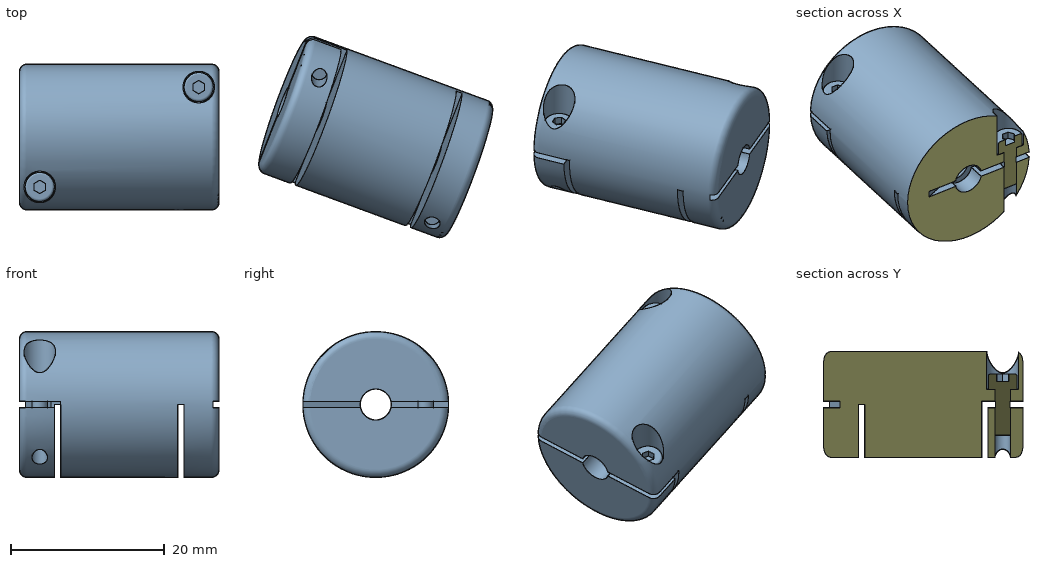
import cadquery as cq

length = 26.0
outer_diameter = 19.0
end_fillet = 1.0
bore_diameter = 4.0

saw_width = 0.8
lever_length = 4.58
slit_edge_depth = 0.75
hinge_thickness = 0.47

screw_inset = 2.65
screw_offset = 6.5
thread_diameter = 2.0
thread_length = 6.0
head_diameter = 3.8
head_height = 2.0
head_fillet = 0.3
seat_height = 2.0
counterbore_diameter = 4.1
hex_across_flats = 1.5
hex_depth = 1.0

half_length = length / 2
outer_radius = outer_diameter / 2
bore_radius = bore_diameter / 2
cross_cut_inner_x = -half_length + lever_length + saw_width
hinge_x = -half_length + lever_length - hinge_thickness
screw_x = -half_length + screw_inset
END_ANGLES = (0, 180)


def turned(shape, angle):
    return shape.rotate((0, 0, 0), (0, 0, 1), angle)


def make_round_bar():
    bar = cq.Workplane("YZ", origin=(-half_length, 0, 0)).circle(outer_radius).extrude(length)
    bar = bar.faces("<X or >X").edges().fillet(end_fillet)
    bore = cq.Workplane("YZ", origin=(-half_length, 0, 0)).circle(bore_radius).extrude(length)
    return bar.cut(bore)


def make_slit():
    """Slit on the bore axis: open on the screw side, with a slanted floor on the hinge side."""
    return (
        cq.Workplane("XY", origin=(0, 0, -saw_width / 2))
        .moveTo(-half_length, -outer_radius)
        .lineTo(cross_cut_inner_x, -outer_radius)
        .lineTo(cross_cut_inner_x, 0)
        .lineTo(hinge_x, bore_radius)
        .lineTo(-half_length + slit_edge_depth, outer_radius)
        .lineTo(-half_length, outer_radius)
        .close()
        .extrude(saw_width)
    )


def make_cross_cut():
    """Saw cut across the whole lower half, freeing the clamp lever."""
    return cq.Workplane("XY").box(
        saw_width, outer_diameter, outer_radius, centered=(False, True, False)
    ).translate((-half_length + lever_length, 0, -outer_radius))


def make_screw_hole():
    """Through hole for the thread, with a counterbore for the head."""
    thread_hole = (
        cq.Workplane("XY", origin=(screw_x, -screw_offset, -outer_radius))
        .circle(thread_diameter / 2)
        .extrude(outer_diameter)
    )
    counterbore = (
        cq.Workplane("XY", origin=(screw_x, -screw_offset, seat_height))
        .circle(counterbore_diameter / 2)
        .extrude(outer_radius)
    )
    return thread_hole.union(counterbore)


def make_coupling():
    coupling = make_round_bar()
    for angle in END_ANGLES:
        for cutter in (make_slit(), make_cross_cut(), make_screw_hole()):
            coupling = coupling.cut(turned(cutter, angle))
    return coupling


def make_screw():
    """Socket head screw with a hexagon whose flats face along X."""
    seat = cq.Workplane("XY", origin=(screw_x, -screw_offset, seat_height))
    head = seat.circle(head_diameter / 2).extrude(head_height).faces(">Z").edges().fillet(head_fillet)
    shank = seat.circle(thread_diameter / 2).extrude(-thread_length)
    socket = (
        seat.workplane(offset=head_height)
        .polygon(6, hex_across_flats, circumscribed=True)
        .extrude(-hex_depth)
    )
    return head.union(shank).cut(socket)


coupling = make_coupling()
screws = [turned(make_screw(), angle) for angle in END_ANGLES]

result = cq.Compound.makeCompound([coupling.val(), *[screw.val() for screw in screws]])